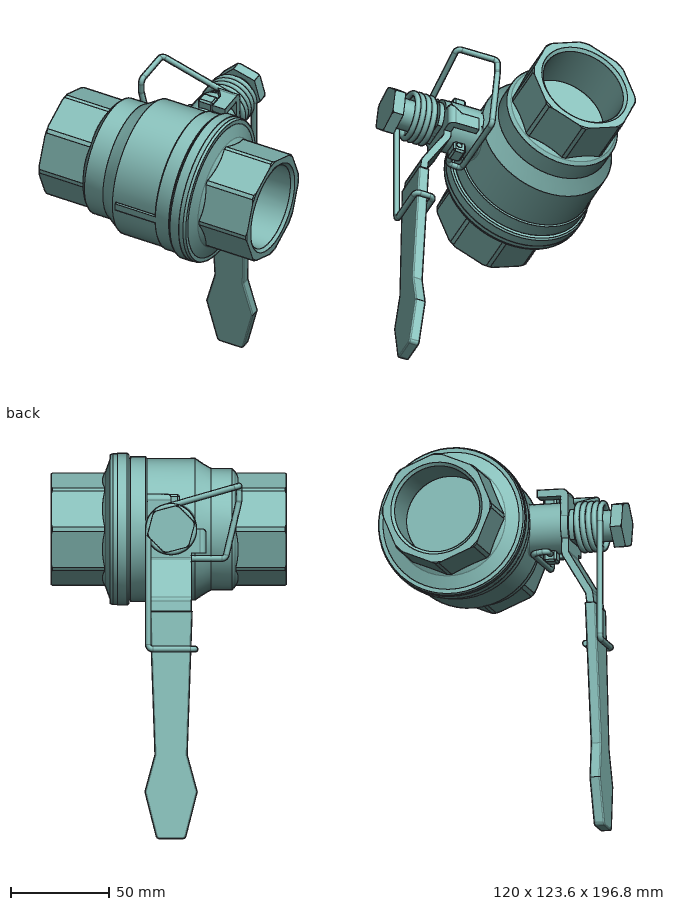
import cadquery as cq
import math


half_length = 60.0
octagon_flats = 53.9
octagon_corner_radius = 28.7
end_chamfer = 0.5
shoulder_radius = 62.0 / 2
shoulder_start = -33.8
shoulder_end = -21.6
shoulder_chamfer = 1.5
panel_radius = 36.2
panel_start = -13.4
panel_end = 11.2
ring_radius = 74.0 / 2
ring_end = 19.5
groove_width = 0.8
flange_radius = 77.5 / 2
flange_edge_radius = 38.0
flange_rim_start = 21.2
flange_rim_end = 26.2
flange_land_radius = 77.0 / 2
flange_land_end = 28.5
flange_end = 29.9
cap_radius = 35.8
cap_end = 32.3
blend_outer_radius = 29.3
blend_inner_radius = octagon_flats / 2
blend_length = 1.5
wall_slope_width = 0.5
rib_width = 4.0
rib_start = -11.5
bore_diameter = 44.8
bore_depth = 26.4
bore_chamfer = 1.5

stem_x = -1.2
neck_diameter = 26.0
neck_fillet = 0.8
plate_bottom = 52.9
plate_thickness = 3.7
plate_top = plate_bottom + plate_thickness
shaft_diameter = 16.0
collar_diameter = 22.0
collar_depth = 15.7
collar_top = 59.2
nut_corner_diameter = 25.2
nut_bottom = 78.9
nut_top = 84.8
nut_turn = -15.0
nut_chamfer = 0.5

block_width = 8.7
block_bottom = 41.7
block_top = 48.4
block_reach = 17.7
block_chamfer = 1.0

plate_diameter = 25.5
tab_reach = 17.9
tab_root_width = 12.2
tab_tip_width = 7.5
tab_tip_y = 40.5
tab_notch_y = 50.0
tab_notch_root_y = 56.0
tab_bend_radius = 3.1

strap_width = 20.6
strap_bend_z = -15.3
strap_bend_radius = 3.1
strap_foot_y = 67.3
strap_foot_z = -36.2
grip_top_y = 68.0
grip_top_z = -41.9
grip_bottom_y = 72.0
grip_bottom_z = -158.0
grip_thickness = 5.5
grip_top_half_width = 10.8
grip_waist_half_width = 8.3
grip_waist_z = -115.0
grip_wide_half_width = 13.4
grip_wide_z = -134.0
grip_tip_half_width = 7.3
grip_tip_radius = 2.0
grip_edge_radius = 0.5

wire_diameter = 3.0
coil_radius = 11.6
coil_start_y = 73.4
coil_end_y = 60.4
coil_exit_angle = 74.0
full_turns = 4
wire_bend_radius = 2.4
loop_x = -35.8
loop_knee_z = 14.2
loop_bottom_x = -29.0
loop_front_y = 37.8
loop_bottom_z = -15.0
loop_turn_x = 9.6
loop_pin_y = 45.5
loop_pin_z = -14.0
loop_pin_proud = 0.2
hook_z = -61.2
hook_x = -13.4
hook_front_y = 63.3
hook_end_x = 1.0


def y_cylinder(diameter, y_from, y_to):
    """Cylinder on the stem axis."""
    return (
        cq.Workplane("XZ", origin=(stem_x, y_from, 0))
        .circle(diameter / 2)
        .extrude(y_from - y_to)
    )


def box_between(x_from, x_to, y_from, y_to, z_from, z_to):
    return cq.Workplane("XY").box(
        x_to - x_from, y_to - y_from, z_to - z_from, centered=False
    ).translate((x_from, y_from, z_from))


def rounded_path(points, bend_radius):
    """Straight runs between the points, with an arc at every inner corner."""
    points = [cq.Vector(*point) for point in points]
    edges = []
    start = points[0]
    for before, corner, after in zip(points, points[1:], points[2:]):
        inward = (before - corner).normalized()
        outward = (after - corner).normalized()
        half_angle = math.acos(inward.dot(outward)) / 2
        setback = bend_radius / math.tan(half_angle)
        apex_distance = bend_radius / math.sin(half_angle) - bend_radius
        arc_start = corner + inward * setback
        arc_middle = corner + (inward + outward).normalized() * apex_distance
        arc_end = corner + outward * setback
        edges.append(cq.Edge.makeLine(start, arc_start))
        edges.append(cq.Edge.makeThreePointArc(arc_start, arc_middle, arc_end))
        start = arc_end
    edges.append(cq.Edge.makeLine(start, points[-1]))
    return cq.Workplane(cq.Wire.assembleEdges(edges))


def make_octagon_ends():
    """Octagonal ends with a corner up, their corners turned down to a cylinder."""
    octagon = (
        cq.Workplane("YZ", origin=(-half_length, 0, 0))
        .polygon(8, octagon_flats / math.cos(math.pi / 8))
        .extrude(2 * half_length)
    )
    turned = (
        cq.Workplane("YZ", origin=(-half_length, 0, 0))
        .circle(octagon_corner_radius)
        .extrude(2 * half_length)
        .faces("<X or >X")
        .chamfer(end_chamfer)
    )
    return octagon.intersect(turned)


def make_turned_body():
    flange_start = ring_end + groove_width
    profile = [
        (shoulder_start - blend_length, 0),
        (shoulder_start - blend_length, blend_inner_radius),
        (shoulder_start, blend_outer_radius),
        (shoulder_start + shoulder_chamfer, shoulder_radius),
        (shoulder_end, shoulder_radius),
        (panel_start, panel_radius),
        (panel_end, panel_radius),
        (panel_end + wall_slope_width, ring_radius),
        (ring_end, ring_radius),
        (ring_end, panel_radius),
        (flange_start, panel_radius),
        (flange_start, flange_edge_radius),
        (flange_rim_start, flange_radius),
        (flange_rim_end, flange_radius),
        (flange_rim_end, flange_land_radius),
        (flange_land_end, flange_land_radius),
        (flange_end, flange_edge_radius),
        (flange_end, cap_radius),
        (cap_end, blend_outer_radius),
        (cap_end + blend_length, blend_inner_radius),
        (cap_end + blend_length, 0),
    ]
    return cq.Workplane("XY").polyline(profile).close().revolve(360, (0, 0, 0), (1, 0, 0))


def make_panel_rib():
    """Narrow slope-sided rib between the two sunken panels, flush with the ring beside them."""
    length = panel_end + wall_slope_width - rib_start
    half_crest = rib_width / 2
    half_foot = half_crest + wall_slope_width
    ring = cq.Workplane("YZ", origin=(rib_start, 0, 0)).circle(ring_radius).extrude(length)
    strip = (
        cq.Workplane("YZ", origin=(rib_start, 0, 0))
        .polyline([
            (-ring_radius, half_crest),
            (-panel_radius, half_foot),
            (0, half_foot),
            (0, -half_foot),
            (-panel_radius, -half_foot),
            (-ring_radius, -half_crest),
        ])
        .close()
        .extrude(length)
    )
    return ring.intersect(strip)


def make_neck():
    """Stem neck with its foot filleted along the panel cylinder."""
    neck = y_cylinder(neck_diameter, 0, plate_bottom)
    saddle = cq.Workplane("YZ").circle(panel_radius).extrude(half_length, both=True)
    foot_edge = cq.selectors.BoxSelector(
        (-neck_diameter, 0, -neck_diameter),
        (neck_diameter, block_bottom, neck_diameter),
        boundingbox=True,
    )
    filleted = saddle.union(neck).edges(foot_edge).fillet(neck_fillet)
    panel_span = box_between(panel_start, panel_end, 0, block_bottom, -panel_radius, panel_radius)
    return neck.union(filleted.intersect(panel_span))


def make_bore():
    """Blind bore from the -X end, with a chamfered mouth."""
    radius = bore_diameter / 2
    profile = [
        (-half_length, 0),
        (-half_length, radius + bore_chamfer),
        (-half_length + bore_chamfer, radius),
        (-half_length + bore_depth, radius),
        (-half_length + bore_depth, 0),
    ]
    return cq.Workplane("XY").polyline(profile).close().revolve(360, (0, 0, 0), (1, 0, 0))


def make_body():
    body = make_octagon_ends().union(make_turned_body()).union(make_panel_rib())
    body = body.union(make_neck())
    bore = make_bore()
    return body.cut(bore).cut(bore.mirror("YZ"))


def make_stem():
    shaft = y_cylinder(shaft_diameter, plate_bottom, nut_bottom)
    collar_radius = collar_diameter / 2
    collar_flats = box_between(
        stem_x - collar_radius, stem_x + collar_radius,
        plate_top, collar_top,
        -collar_depth / 2, collar_depth / 2,
    )
    collar = y_cylinder(collar_diameter, plate_top, collar_top).intersect(collar_flats)
    nut = (
        cq.Workplane("XZ", origin=(stem_x, nut_bottom, 0))
        .transformed(rotate=(0, 0, nut_turn))
        .polygon(6, nut_corner_diameter)
        .extrude(nut_bottom - nut_top)
    )
    rounding = y_cylinder(nut_corner_diameter, nut_bottom, nut_top).faces(">Y").chamfer(nut_chamfer)
    return shaft.union(collar).union(nut.intersect(rounding))


def make_stop_blocks():
    """One bar through the neck that stands out at its +Z and -Z sides."""
    bar = box_between(
        stem_x - block_width / 2, stem_x + block_width / 2,
        block_bottom, block_top,
        -block_reach, block_reach,
    )
    return bar.edges().chamfer(block_chamfer)


def make_upper_tab():
    """Tab that runs to +Z from the stem axis and bends down to -Y."""
    tab = (
        cq.Workplane("YZ", origin=(0, 0, 0))
        .moveTo(plate_bottom, 0)
        .lineTo(plate_top, 0)
        .lineTo(plate_top, tab_reach)
        .lineTo(tab_tip_y, tab_reach)
        .lineTo(tab_tip_y, tab_reach - plate_thickness)
        .lineTo(plate_bottom, tab_reach - plate_thickness)
        .close()
        .extrude(tab_root_width)
        .edges("|X and >Y and >Z")
        .fillet(tab_bend_radius)
    )
    step = tab_root_width - tab_tip_width
    notch = (
        cq.Workplane("XY")
        .polyline([(0, tab_notch_root_y), (step, tab_notch_y), (step, 0), (0, 0)])
        .close()
        .extrude(tab_reach)
    )
    return tab.cut(notch)


def make_stop_plate():
    upper_tab = make_upper_tab()
    side_tab = upper_tab.rotate((0, 0, 0), (0, 1, 0), -90).mirror("XY")
    tabs = upper_tab.union(side_tab).translate((stem_x, 0, 0))
    return y_cylinder(plate_diameter, plate_bottom, plate_top).union(tabs)


def make_strap():
    """Flat strap of the plate, cranked outwards and running into the grip."""
    mid_y = plate_bottom + plate_thickness / 2
    path = rounded_path([
        (stem_x, mid_y, 0),
        (stem_x, mid_y, strap_bend_z),
        (stem_x, strap_foot_y, strap_foot_z),
        (stem_x, grip_top_y, grip_top_z),
    ], strap_bend_radius)
    return (
        cq.Workplane("XY", origin=(stem_x, mid_y, 0))
        .rect(strap_width, plate_thickness)
        .sweep(path)
    )


def make_grip():
    """Leaning flat grip: its side outline extruded across X, cut to its front outline."""
    half = grip_thickness / 2
    side = (
        cq.Workplane("YZ", origin=(stem_x, 0, 0))
        .polyline([
            (grip_top_y - half, grip_top_z),
            (grip_top_y + half, grip_top_z),
            (grip_bottom_y + half, grip_bottom_z),
            (grip_bottom_y - half, grip_bottom_z),
        ])
        .close()
        .extrude(grip_wide_half_width, both=True)
    )
    right_edge = [
        (grip_top_half_width, grip_top_z),
        (grip_waist_half_width, grip_waist_z),
        (grip_wide_half_width, grip_wide_z),
        (grip_tip_half_width, grip_bottom_z),
    ]
    left_edge = [(-x, z) for x, z in reversed(right_edge)]
    front = (
        cq.Workplane("XZ", origin=(stem_x, 0, 0))
        .polyline(right_edge + left_edge)
        .close()
        .extrude(-nut_top)
        .edges("|Y and <Z")
        .fillet(grip_tip_radius)
    )
    return side.intersect(front).faces("<Y or >Y").edges().fillet(grip_edge_radius)


def make_wire(points):
    """Round spring wire along the points."""
    start, towards = cq.Vector(*points[0]), cq.Vector(*points[1])
    section = cq.Plane(origin=start, normal=towards - start)
    return cq.Workplane(section).circle(wire_diameter / 2).sweep(rounded_path(points, wire_bend_radius))


def make_coil():
    turns = full_turns + coil_exit_angle / 360
    height = coil_start_y - coil_end_y
    helix = cq.Wire.makeHelix(height / turns, height, coil_radius)
    coil = (
        cq.Workplane("XZ", origin=(coil_radius, 0, 0))
        .circle(wire_diameter / 2)
        .sweep(cq.Workplane(helix), isFrenet=True)
    )
    return coil.rotate((0, 0, 0), (1, 0, 0), 90).translate((stem_x, coil_start_y, 0))


def make_spring():
    exit_angle = math.radians(coil_exit_angle)
    exit_x = stem_x + coil_radius * math.cos(exit_angle)
    exit_z = coil_radius * math.sin(exit_angle)
    loop_top_z = exit_z + (exit_x - loop_x) / math.tan(exit_angle)
    pin_end_x = stem_x - block_width / 2 - loop_pin_proud
    loop = make_wire([
        (exit_x, coil_end_y, exit_z),
        (loop_x, coil_end_y, loop_top_z),
        (loop_x, loop_front_y, loop_top_z),
        (loop_x, loop_front_y, loop_knee_z),
        (loop_bottom_x, loop_front_y, loop_bottom_z),
        (loop_turn_x, loop_front_y, loop_bottom_z),
        (loop_turn_x, loop_pin_y, loop_pin_z),
        (pin_end_x, loop_pin_y, loop_pin_z),
    ])
    entry_x = stem_x + coil_radius
    hook = make_wire([
        (entry_x, coil_start_y, 0),
        (entry_x, coil_start_y, hook_z),
        (hook_x, coil_start_y, hook_z),
        (hook_x, hook_front_y, hook_z),
        (hook_end_x, hook_front_y, hook_z),
    ])
    return make_coil().union(loop).union(hook)


result = (
    make_body()
    .union(make_stem())
    .union(make_stop_blocks())
    .union(make_stop_plate())
    .union(make_strap())
    .union(make_grip())
    .union(make_spring())
)